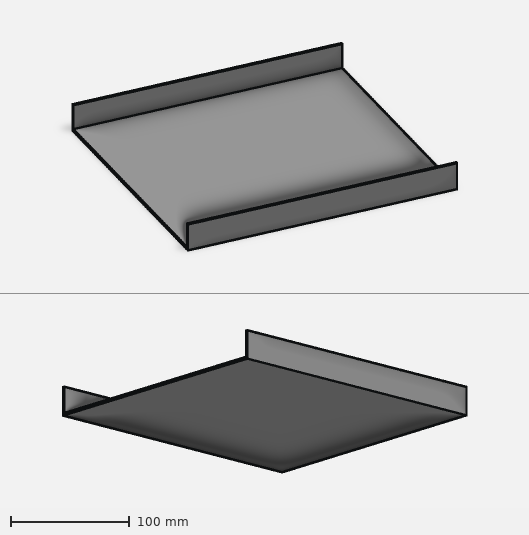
import cadquery as cq

width = 230.0
length = 250.0
height = 25.0
sheet_thickness = 2.0

channel_width = width - 2 * sheet_thickness
channel_depth = height - sheet_thickness

blank = cq.Workplane("XY").box(width, length, height, centered=(True, True, False))
channel = (
    cq.Workplane("XY")
    .workplane(offset=sheet_thickness)
    .box(channel_width, length, channel_depth, centered=(True, True, False))
)

result = blank.cut(channel)